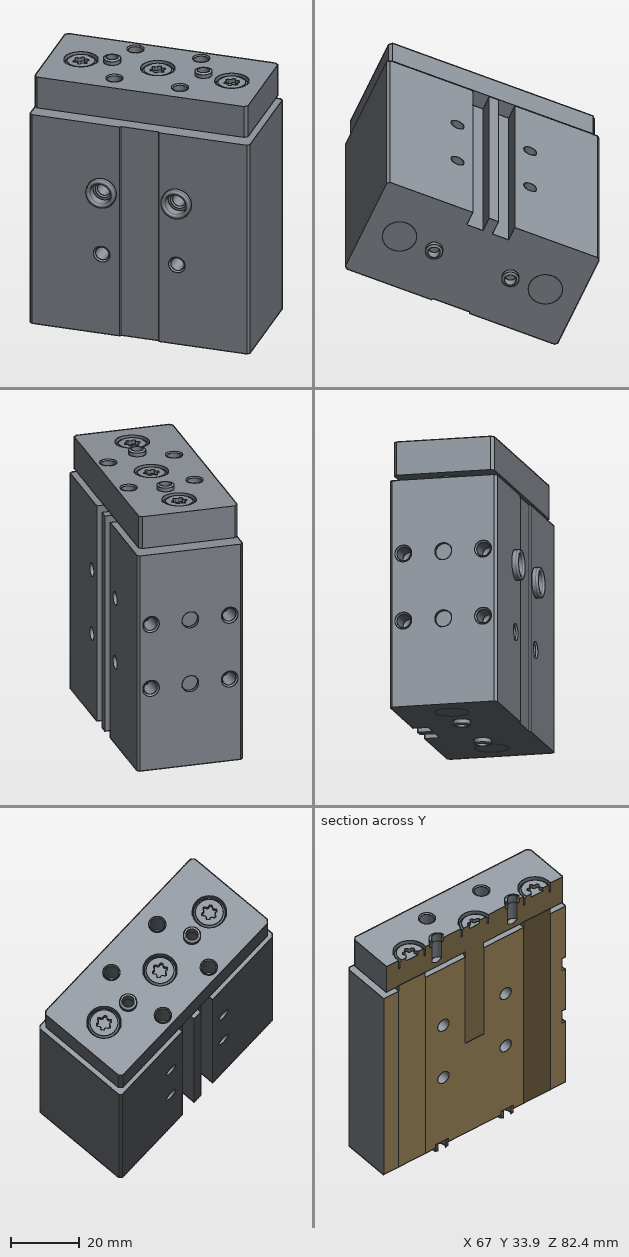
import cadquery as cq
import math


overall_height = 82.4

housing_width = 67.0
housing_depth = 32.05
housing_height = 67.6
housing_bottom = 1.6
housing_top = housing_bottom + housing_height
housing_chamfer = 0.75
front_face = -housing_depth / 2
back_face = housing_depth / 2
left_face = -housing_width / 2

front_groove_width = 12.0
front_groove_depth = 0.5
front_groove_wall_inset = 0.3
sensor_slot_inner_x = 1.5
sensor_slot_width = 5.1
sensor_slot_depth = 4.5

plate_width = 64.9
plate_depth = 30.0
plate_height = 10.0
plate_gap = 1.8
plate_chamfer = 0.9
plate_offset_y = 0.2
plate_bottom = housing_top + plate_gap
plate_top = plate_bottom + plate_height

rod_axis_y = 1.5
rod_diameter = 7.0
rod_insertion = 33.0
guide_diameter = 10.0
guide_x = 23.0
guide_axis_y = 0.2

counterbore_diameter = 10.0
counterbore_depth = 3.3
head_diameter = 9.2
head_recess = 0.4
head_chamfer = 0.6
socket_tip_radius = 2.3
socket_root_radius = 1.65
socket_depth = 1.2
socket_lobes = 6

thread_diameter = 4.0
thread_mouth_diameter = 5.0
thread_chamfer = (thread_mouth_diameter - thread_diameter) / 2
thread_depth = 7.4
drill_tip_angle = 120
hole_pitch = 20.0
plate_hole_diameter = 4.3

lower_row_z = 27.2
upper_row_z = lower_row_z + hole_pitch
through_hole_x = 11.45
side_hole_y = 11.95
side_seat_depth = 1.2

small_sleeve_outer = 5.0
small_sleeve_inner = 3.5
small_sleeve_seat = 1.2
small_sleeve_slope = 0.3
plate_sleeve_x = 13.9
plate_sleeve_height = overall_height - plate_top
bottom_sleeve_x = 12.0

large_sleeve_outer = 9.0
large_sleeve_inner = 6.4
large_sleeve_height = 1.8
large_sleeve_seat = 1.7

UP = cq.Vector(0, 0, 1)
DOWN = cq.Vector(0, 0, -1)
INTO_LEFT = cq.Vector(1, 0, 0)
INTO_FRONT = cq.Vector(0, 1, 0)


def cylinder(diameter, length, start, direction):
    return cq.Workplane(cq.Solid.makeCylinder(diameter / 2, length, cq.Vector(*start), direction))


def block(width, depth, height, bottom, chamfer):
    """Upright block with its four vertical edges chamfered."""
    body = cq.Workplane(origin=(0, 0, bottom)).rect(width, depth).extrude(height)
    return body.edges("|Z").chamfer(chamfer)


def mouth_chamfer(start, direction):
    """Cone that widens the mouth of a threaded hole."""
    cone = cq.Solid.makeCone(
        thread_mouth_diameter / 2, thread_diameter / 2, thread_chamfer, cq.Vector(*start), direction
    )
    return cq.Workplane(cone)


def blind_thread(start, direction, diameter=thread_diameter):
    """Blind hole with a conical drill tip."""
    radius = diameter / 2
    tip_length = radius / math.tan(math.radians(drill_tip_angle / 2))
    tip_start = cq.Vector(*start) + direction * thread_depth
    tip = cq.Solid.makeCone(radius, 0, tip_length, tip_start, direction)
    return cylinder(diameter, thread_depth, start, direction).union(cq.Workplane(tip))


def socket_outline():
    """Six-lobed star: each lobe tip and each root is the middle of an arc."""
    step = math.pi / socket_lobes
    middle = (socket_tip_radius + socket_root_radius) / 2

    def polar(radius, angle):
        return (radius * math.cos(angle), radius * math.sin(angle))

    first_tip = math.pi / 2
    outline = cq.Workplane().moveTo(*polar(middle, first_tip - step / 2))
    for lobe in range(socket_lobes):
        tip = first_tip + 2 * lobe * step
        outline = outline.threePointArc(polar(socket_tip_radius, tip), polar(middle, tip + step / 2))
        outline = outline.threePointArc(
            polar(socket_root_radius, tip + step), polar(middle, tip + 3 * step / 2)
        )
    return outline.close()


def make_housing():
    body = block(housing_width, housing_depth, housing_height, housing_bottom, housing_chamfer)

    mouth_x = front_groove_width / 2
    floor_x = mouth_x - front_groove_wall_inset
    floor_y = front_face + front_groove_depth
    body = body.cut(
        cq.Workplane(origin=(0, 0, housing_bottom))
        .polyline([(-mouth_x, front_face), (mouth_x, front_face), (floor_x, floor_y), (-floor_x, floor_y)])
        .close()
        .extrude(housing_height)
    )

    for side in (-1, 1):
        slot_x = side * (sensor_slot_inner_x + sensor_slot_width / 2)
        body = body.cut(
            cq.Workplane(origin=(slot_x, back_face, housing_bottom))
            .rect(sensor_slot_width, 2 * sensor_slot_depth)
            .extrude(housing_height)
        )

        guide_start = (side * guide_x, guide_axis_y, housing_bottom)
        body = body.cut(cylinder(guide_diameter, housing_height, guide_start, UP))

        hole_x = side * through_hole_x
        seat_floor = front_face + large_sleeve_seat
        for row_z, mouth_y in ((lower_row_z, front_face), (upper_row_z, seat_floor)):
            body = body.cut(cylinder(thread_diameter, housing_depth, (hole_x, front_face, row_z), INTO_FRONT))
            body = body.cut(mouth_chamfer((hole_x, mouth_y, row_z), INTO_FRONT))
        seat_start = (hole_x, front_face, upper_row_z)
        body = body.cut(cylinder(large_sleeve_outer, large_sleeve_seat, seat_start, INTO_FRONT))

        seat_start = (side * bottom_sleeve_x, 0, housing_bottom)
        body = body.cut(cylinder(small_sleeve_outer, small_sleeve_seat, seat_start, UP))

    body = body.cut(cylinder(rod_diameter, rod_insertion, (0, rod_axis_y, housing_top), DOWN))

    for row_z in (lower_row_z, upper_row_z):
        body = body.cut(cylinder(small_sleeve_outer, side_seat_depth, (left_face, 0, row_z), INTO_LEFT))
        for hole_y in (-side_hole_y, side_hole_y):
            start = (left_face, hole_y, row_z)
            body = body.cut(blind_thread(start, INTO_LEFT)).cut(mouth_chamfer(start, INTO_LEFT))
    return body


def sink_screw_head(body, x, y):
    """Cuts a counterbore around a round screw head with a star socket."""
    body = body.cut(cylinder(counterbore_diameter, counterbore_depth, (x, y, plate_top), DOWN))
    floor = plate_top - counterbore_depth
    head = cylinder(head_diameter, counterbore_depth - head_recess, (x, y, floor), UP)
    head = head.faces(">Z").edges().chamfer(head_chamfer)
    socket = socket_outline().extrude(socket_depth)
    head = head.cut(socket.translate((x, y, plate_top - head_recess - socket_depth)))
    return body.union(head)


def make_yoke():
    """Plate with its screw heads and the piston rod fixed to it."""
    body = block(plate_width, plate_depth, plate_height, plate_bottom, plate_chamfer)
    body = body.translate((0, plate_offset_y, 0))
    body = body.union(cylinder(rod_diameter, rod_insertion + plate_gap, (0, rod_axis_y, plate_bottom), DOWN))

    body = sink_screw_head(body, 0, rod_axis_y)
    for side in (-1, 1):
        body = sink_screw_head(body, side * guide_x, guide_axis_y)

        sleeve_x = side * plate_sleeve_x
        start = (sleeve_x, rod_axis_y, plate_top)
        body = body.cut(cylinder(small_sleeve_outer, small_sleeve_seat, start, DOWN))
        body = body.cut(blind_thread(start, DOWN, small_sleeve_inner))

        for row in (-1, 1):
            start = (side * hole_pitch / 2, rod_axis_y + row * hole_pitch / 2, plate_top)
            body = body.cut(cylinder(plate_hole_diameter, plate_height, start, DOWN))
            body = body.cut(mouth_chamfer(start, DOWN))
    return body


def make_guide_rod(x):
    start = (x, guide_axis_y, housing_bottom)
    return cylinder(guide_diameter, housing_height + plate_gap, start, UP)


def make_small_sleeve(height):
    """Upright sleeve, seated below Z = 0, whose top slopes from the bore down to the outside."""
    inner_radius = small_sleeve_inner / 2
    outer_radius = small_sleeve_outer / 2
    profile = (
        cq.Workplane("XZ")
        .moveTo(inner_radius, -small_sleeve_seat)
        .lineTo(outer_radius, -small_sleeve_seat)
        .lineTo(outer_radius, height - small_sleeve_slope)
        .lineTo(inner_radius, height)
        .close()
    )
    return profile.revolve(360, (0, 0, 0), (0, 1, 0))


def make_plate_sleeve(x):
    return make_small_sleeve(plate_sleeve_height).translate((x, rod_axis_y, plate_top))


def make_bottom_sleeve(x):
    sleeve = make_small_sleeve(housing_bottom).rotate((0, 0, 0), (1, 0, 0), 180)
    return sleeve.translate((x, 0, housing_bottom))


def make_front_sleeve(x):
    """Large sleeve whose free end is fully rounded across its wall."""
    inner_radius = large_sleeve_inner / 2
    outer_radius = large_sleeve_outer / 2
    rounding = (outer_radius - inner_radius) / 2
    shoulder = rounding - large_sleeve_height
    profile = (
        cq.Workplane()
        .moveTo(inner_radius, large_sleeve_seat)
        .lineTo(outer_radius, large_sleeve_seat)
        .lineTo(outer_radius, shoulder)
        .threePointArc((inner_radius + rounding, -large_sleeve_height), (inner_radius, shoulder))
        .close()
    )
    sleeve = profile.revolve(360, (0, 0, 0), (0, 1, 0))
    return sleeve.translate((x, front_face, upper_row_z))


housing = make_housing()
yoke = make_yoke()
bodies = [housing.val(), yoke.val()]
for side in (-1, 1):
    bodies.append(make_guide_rod(side * guide_x).val())
    bodies.append(make_plate_sleeve(side * plate_sleeve_x).val())
    bodies.append(make_bottom_sleeve(side * bottom_sleeve_x).val())
    bodies.append(make_front_sleeve(side * through_hole_x).val())

result = cq.Compound.makeCompound(bodies)